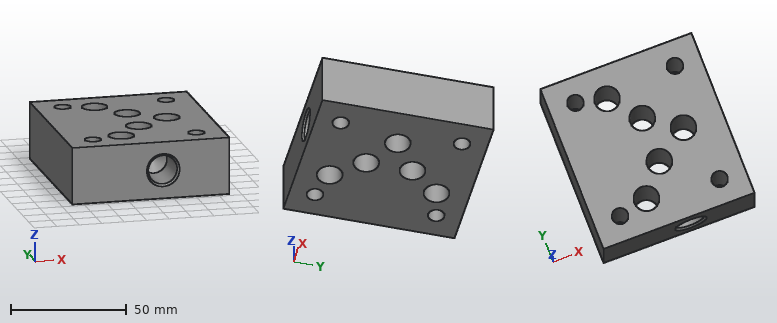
import cadquery as cq
import math

LENGTH_X = 69.9
LENGTH_Y = 76.2
HEIGHT = 25.4

MOUNT_DIAMETER = 7.2
MOUNT_X = 23.0
MOUNT_Y = 27.0

PASSAGE_DIAMETER = 11.1
OUTER_PASSAGE_X = -9.6
OUTER_PASSAGE_Y = 23.8
INNER_PASSAGE_X = 1.5
INNER_PASSAGE_Y = 10.3
CENTRE_PASSAGE_X = 16.6

PORT_X = 5.5
MOUTH_DIAMETER = 14.6
BORE_START_DIAMETER = 12.8
BORE_END_DIAMETER = 11.65
MOUTH_DEPTH = 0.9
BORE_END_DEPTH = 16.8
DRILL_POINT_ANGLE = 118.0


def make_block():
    return cq.Workplane("XY").box(LENGTH_X, LENGTH_Y, HEIGHT)


def drill_through(block, centres, diameter):
    return block.faces(">Z").workplane(origin=(0, 0, 0)).pushPoints(centres).hole(diameter)


def make_port_cutter():
    """Revolve half of the port's section about the port axis, which runs along Y."""
    face_y = -LENGTH_Y / 2
    mouth_radius = MOUTH_DIAMETER / 2
    bore_start_radius = BORE_START_DIAMETER / 2
    bore_end_radius = BORE_END_DIAMETER / 2
    point_length = bore_end_radius / math.tan(math.radians(DRILL_POINT_ANGLE / 2))
    half_section = [
        (0, face_y),
        (mouth_radius, face_y),
        (bore_start_radius, face_y + MOUTH_DEPTH),
        (bore_end_radius, face_y + BORE_END_DEPTH),
        (0, face_y + BORE_END_DEPTH + point_length),
    ]
    cutter = cq.Workplane("XY").polyline(half_section).close().revolve(360, (0, 0, 0), (0, 1, 0))
    return cutter.translate((PORT_X, 0, 0))


mount_centres = [(x, y) for x in (-MOUNT_X, MOUNT_X) for y in (-MOUNT_Y, MOUNT_Y)]

passage_centres = [(CENTRE_PASSAGE_X, 0)]
for side in (-1, 1):
    passage_centres.append((OUTER_PASSAGE_X, side * OUTER_PASSAGE_Y))
    passage_centres.append((INNER_PASSAGE_X, side * INNER_PASSAGE_Y))

result = make_block()
result = drill_through(result, mount_centres, MOUNT_DIAMETER)
result = drill_through(result, passage_centres, PASSAGE_DIAMETER)
result = result.cut(make_port_cutter())